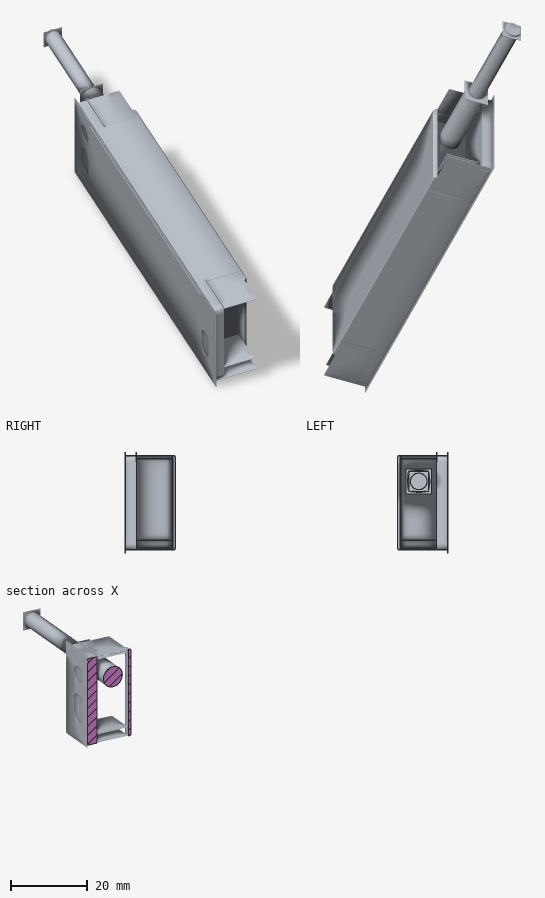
import cadquery as cq

SHEET = 0.1

TOTAL_LENGTH = 123.6
TOTAL_DEPTH = 13.2
PLATE_LENGTH = 91.4
PLATE_HEIGHT = 26.2
PLATE_INSET = 0.06
PLATE_MARGIN_X = 1.4
PLATE_MARGIN_Z = 0.7
FLANGE_DEPTH = 3.0
FLANGE_CORNER = 1.6
HOUSING_DEPTH = 12.2
HOUSING_LEFT = PLATE_MARGIN_X
HOUSING_RIGHT = PLATE_LENGTH - PLATE_MARGIN_X
HOUSING_LENGTH = HOUSING_RIGHT - HOUSING_LEFT
HOUSING_HEIGHT = PLATE_HEIGHT - 2 * PLATE_MARGIN_Z

BLOCK_LEFT = 13.0
BLOCK_RIGHT = 78.4
BLOCK_LENGTH = BLOCK_RIGHT - BLOCK_LEFT
BLOCK_CORNER = 2.5

FLAP_STEP = 0.06
OUTER_FLAP_BOTTOM = PLATE_MARGIN_Z + FLAP_STEP
OUTER_FLAP_TOP = PLATE_HEIGHT - OUTER_FLAP_BOTTOM - SHEET
INNER_FLAP_Z = PLATE_MARGIN_Z + BLOCK_CORNER
INNER_FLAP_LEFT = 2.8
INNER_FLAP_RIGHT = PLATE_LENGTH - INNER_FLAP_LEFT

LID_LEFT = 9.6
LID_RIGHT = 82.0
LID_LENGTH = LID_RIGHT - LID_LEFT
LID_END_CHAMFER = 0.7
LID_SIDE_CHAMFER = 0.4

GROOVE_LEFT = 10.0
GROOVE_RIGHT = 81.3
GROOVE_WIDTH = 0.4
GROOVE_DEPTH = 0.2
GROOVE_Z = PLATE_HEIGHT - 1.7

RECESS_DEPTH = 0.2
RECESS_WIDTH = 4.7
SLOT_HEIGHT = 8.2
SLOT_Z = 9.5
LEFT_RECESS_X = 6.7
RIGHT_SLOT_X = 84.4
ROUND_RECESS_Z = 19.2

CABLE_LENGTH = TOTAL_LENGTH - PLATE_LENGTH
CABLE_Y = 7.7
CABLE_Z = 18.7
CABLE_DIAMETER = 4.3
BUSHING_DIAMETER = 5.8
BUSHING_LENGTH = 6.4
BUSHING_COLLAR = 6.5
TIP_COLLAR = 5.2
TIP_COLLAR_INSET = 0.7
SLIT_WIDTH = 0.1
SLIT_DEPTH = 0.1
SLIT_POSITIONS = (-3.1, -1.9)
SLIT_LENGTH = 1.5
SLIT_ANGLES = (45, 135)


def box(x, y, z, length, depth, height):
    """Box from its lowest corner."""
    return cq.Workplane("XY").box(length, depth, height, centered=False).translate((x, y, z))


def housing():
    """Flanged block with its thin mounting plate."""
    plate = box(0, PLATE_INSET, 0, PLATE_LENGTH, SHEET, PLATE_HEIGHT)
    flange = box(HOUSING_LEFT, 0, PLATE_MARGIN_Z, HOUSING_LENGTH, FLANGE_DEPTH, HOUSING_HEIGHT)
    flange = flange.edges("|Y").fillet(FLANGE_CORNER)
    block = box(BLOCK_LEFT, 0, PLATE_MARGIN_Z, BLOCK_LENGTH, HOUSING_DEPTH, HOUSING_HEIGHT)
    block = block.edges("|Y and <Z").fillet(BLOCK_CORNER)
    return plate.union(flange).union(block)


def ears():
    """Thin sheets on the back of each flange, rising to the plate height."""
    ear_height = PLATE_HEIGHT - PLATE_MARGIN_Z - FLANGE_CORNER
    ear_y = FLANGE_DEPTH - SHEET
    ear_z = PLATE_HEIGHT - ear_height
    left = box(HOUSING_LEFT, ear_y, ear_z, BLOCK_LEFT - HOUSING_LEFT, SHEET, ear_height)
    right = box(BLOCK_RIGHT, ear_y, ear_z, HOUSING_RIGHT - BLOCK_RIGHT, SHEET, ear_height)
    return left.union(right)


def flap(left, right, z):
    """Thin level sheet over the depth of the housing."""
    return box(left, 0, z, right - left, HOUSING_DEPTH, SHEET)


def flaps():
    """Outer flaps above and below, an inner flap above the bottom corners and the upper web."""
    bottom = flap(HOUSING_LEFT, HOUSING_RIGHT, OUTER_FLAP_BOTTOM)
    top = flap(HOUSING_LEFT, HOUSING_RIGHT, OUTER_FLAP_TOP)
    inner = flap(INNER_FLAP_LEFT, INNER_FLAP_RIGHT, INNER_FLAP_Z)
    web = flap(GROOVE_LEFT, GROOVE_RIGHT, GROOVE_Z)
    return bottom.union(top).union(inner).union(web)


def lid():
    """Raised cover on the back, chamfered all round."""
    lid_depth = TOTAL_DEPTH - HOUSING_DEPTH
    body = box(LID_LEFT, HOUSING_DEPTH, PLATE_MARGIN_Z, LID_LENGTH, lid_depth, HOUSING_HEIGHT)
    body = body.faces(">Y").edges("|Z").chamfer(LID_END_CHAMFER)
    return body.faces(">Y").edges("|X").chamfer(LID_SIDE_CHAMFER)


def groove():
    """Shallow groove along the top of the mounting face."""
    length = GROOVE_RIGHT - GROOVE_LEFT
    return box(GROOVE_LEFT, 0, GROOVE_Z - GROOVE_WIDTH / 2, length, GROOVE_DEPTH, GROOVE_WIDTH)


def recesses():
    """Two upright slots and one round recess in the mounting face."""
    face = cq.Workplane("XZ")
    slots = face.pushPoints([(LEFT_RECESS_X, SLOT_Z), (RIGHT_SLOT_X, SLOT_Z)])
    slots = slots.slot2D(SLOT_HEIGHT, RECESS_WIDTH, 90).extrude(-RECESS_DEPTH)
    disc = face.center(LEFT_RECESS_X, ROUND_RECESS_Z).circle(RECESS_WIDTH / 2).extrude(-RECESS_DEPTH)
    return slots.union(disc)


def cable_plane(x):
    """Cross-section plane on the cable axis."""
    return cq.Workplane("YZ", origin=(x, CABLE_Y, CABLE_Z))


def cable():
    """Round cable and bushing reaching the end of the block."""
    core = cable_plane(-CABLE_LENGTH).circle(CABLE_DIAMETER / 2).extrude(CABLE_LENGTH + BLOCK_LEFT)
    bushing = cable_plane(-BUSHING_LENGTH).circle(BUSHING_DIAMETER / 2).extrude(BUSHING_LENGTH + BLOCK_LEFT)
    collar = cable_plane(-BUSHING_LENGTH).rect(BUSHING_COLLAR, BUSHING_COLLAR).extrude(SHEET)
    tip = cable_plane(-CABLE_LENGTH + TIP_COLLAR_INSET).rect(TIP_COLLAR, TIP_COLLAR).extrude(SHEET)
    return core.union(bushing).union(collar).union(tip)


def slits():
    """Pairs of short slits at the four diagonals of the bushing."""
    cutters = cq.Workplane("YZ")
    for x in SLIT_POSITIONS:
        ring = cable_plane(x).circle(BUSHING_DIAMETER / 2).circle(BUSHING_DIAMETER / 2 - SLIT_DEPTH)
        ring = ring.extrude(SLIT_WIDTH)
        for angle in SLIT_ANGLES:
            bar = cable_plane(x).transformed(rotate=(0, 0, angle)).rect(BUSHING_DIAMETER, SLIT_LENGTH)
            cutters = cutters.add(ring.intersect(bar.extrude(SLIT_WIDTH)))
    return cutters.combine()


result = housing().union(ears()).union(flaps()).union(lid()).union(cable())
result = result.cut(groove()).cut(recesses()).cut(slits())